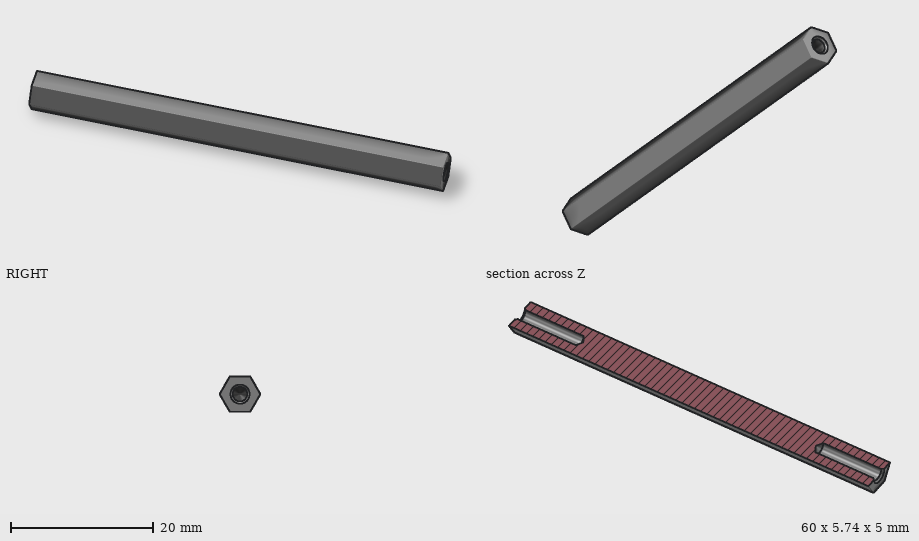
import cadquery as cq
import math

length = 60.0
side_count = 6
across_flats = 5.0
edge_radius = 0.1

hole_diameter = 2.05
mouth_diameter = 2.7
hole_depth = 10.0
countersink_angle = 90.0
drill_point_angle = 120.0


def cone_height(radius_change, included_angle):
    """Axial length over which a cone's radius changes by radius_change."""
    return radius_change / math.tan(math.radians(included_angle / 2))


def hex_bar():
    across_corners = across_flats / math.cos(math.radians(180 / side_count))
    bar = cq.Workplane("YZ").polygon(side_count, across_corners).extrude(length)
    return bar.edges().fillet(edge_radius)


def tapped_hole():
    """Hole volume opening at X = 0 and running toward +X."""
    hole_radius = hole_diameter / 2
    mouth_radius = mouth_diameter / 2
    countersink_depth = cone_height(mouth_radius - hole_radius, countersink_angle)
    tip = hole_depth + cone_height(hole_radius, drill_point_angle)
    half_section = [
        (0, 0),
        (0, mouth_radius),
        (countersink_depth, hole_radius),
        (hole_depth, hole_radius),
        (tip, 0),
    ]
    profile = cq.Workplane("XY").polyline(half_section).close()
    return profile.revolve(360, (0, 0, 0), (1, 0, 0))


near_hole = tapped_hole()
far_hole = near_hole.mirror("YZ").translate((length, 0, 0))
result = hex_bar().cut(near_hole).cut(far_hole)